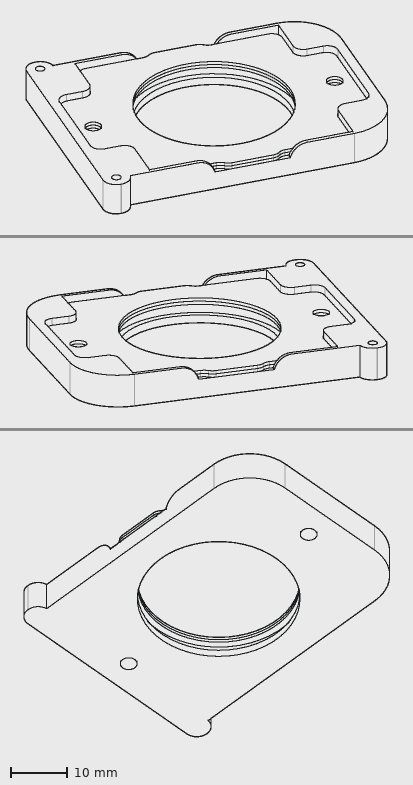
import cadquery as cq
import math

LENGTH = 56.45
OVERALL_WIDTH = 44.6
FRAME_WIDTH = 40.25
FRAME_HEIGHT = 6.1
OVERALL_HEIGHT = 6.45
CORNER_RADIUS = 9.0
EAR_RADIUS = 2.5
EAR_TIP_FLAT = 0.1
NUB_DIAMETER = 1.7

PLATE_THICKNESS = 0.6
POCKET_FLOOR = 3.55
POCKET_WIDTH = 38.7
POCKET_LENGTH = 38.5
POCKET_TAB_WIDTH = 19.8
POCKET_TAB_LENGTH = 52.6
TAB_RADIUS = 2.0
NOTCH_TOP_LENGTH = 20.8
NOTCH_RADIUS = 3.4

SIDE_GAP = 0.2
CLOSE_GAP = 0.05
PLATE_COUNT = 2
PLATE_CORNER_RADIUS = 2.0
LUG_LENGTH = 7.8
LUG_BLEND_RADIUS = 2.0

BORE_DIAMETER = 28.9
COUNTERBORE_DIAMETER = 31.4
COUNTERBORE_FLOOR = 1.5
SCREW_HOLE_DIAMETER = 3.0
SCREW_HOLE_SPACING = 45.65

ear_x = OVERALL_WIDTH / 2 - EAR_RADIUS
ear_y = EAR_RADIUS + EAR_TIP_FLAT / 2 - LENGTH / 2
SIDES = (-1, 1)


def block(width, length, bottom, top):
    """Box centred on the Z axis, between two heights."""
    return cq.Workplane("XY", origin=(0, 0, bottom)).rect(width, length).extrude(top - bottom)


def cross_block(width, length, tab_width, tab_length, bottom, top):
    """Rectangle with a narrower tab at each end; tab corners rounded, rectangle corners sharp."""
    body = block(width, length, bottom, top).union(block(tab_width, tab_length, bottom, top))
    margin = 0.05
    tab_zone = cq.selectors.BoxSelector(
        (-tab_width / 2 - margin, -tab_length / 2 - margin, bottom - margin),
        (tab_width / 2 + margin, tab_length / 2 + margin, top + margin),
    )
    return body.edges("|Z").edges(tab_zone).fillet(TAB_RADIUS)


def cut_openings(body):
    """Cut the central bore and the two screw holes right through."""
    drills = (
        cq.Workplane("XY")
        .circle(BORE_DIAMETER / 2)
        .pushPoints([(0, side * SCREW_HOLE_SPACING / 2) for side in SIDES])
        .circle(SCREW_HOLE_DIAMETER / 2)
        .extrude(FRAME_HEIGHT)
    )
    return body.cut(drills)


def make_frame_slab():
    """Slab with two large rounded +Y corners and, at each -Y corner, a round ear with a narrow flat tip."""
    half_width = FRAME_WIDTH / 2
    half_length = LENGTH / 2
    ear_lower_y = ear_y - EAR_TIP_FLAT / 2
    ear_upper_y = ear_y + EAR_TIP_FLAT / 2
    ear_end_offset = half_width - ear_x
    ear_end_y = ear_upper_y + math.sqrt(EAR_RADIUS**2 - ear_end_offset**2)
    ear_tip_x = ear_x + EAR_RADIUS
    corner_y = half_length - CORNER_RADIUS
    corner_x = half_width - CORNER_RADIUS
    return (
        cq.Workplane("XY")
        .moveTo(0, -half_length)
        .lineTo(ear_x, -half_length)
        .radiusArc((ear_tip_x, ear_lower_y), -EAR_RADIUS)
        .lineTo(ear_tip_x, ear_upper_y)
        .radiusArc((half_width, ear_end_y), -EAR_RADIUS)
        .lineTo(half_width, corner_y)
        .radiusArc((corner_x, half_length), -CORNER_RADIUS)
        .lineTo(0, half_length)
        .mirrorY()
        .extrude(FRAME_HEIGHT)
    )


def make_notch():
    """Cutter across both side walls, with convex rounded shoulders running down to the pocket floor."""
    top_half = NOTCH_TOP_LENGTH / 2
    arc_center_z = FRAME_HEIGHT - NOTCH_RADIUS

    def shoulder_y(z):
        return top_half - math.sqrt(NOTCH_RADIUS**2 - (z - arc_center_z) ** 2)

    floor_half = shoulder_y(POCKET_FLOOR)
    middle_z = (POCKET_FLOOR + FRAME_HEIGHT) / 2
    middle_half = shoulder_y(middle_z)
    return (
        cq.Workplane("YZ")
        .moveTo(-top_half, FRAME_HEIGHT)
        .threePointArc((-middle_half, middle_z), (-floor_half, POCKET_FLOOR))
        .lineTo(floor_half, POCKET_FLOOR)
        .threePointArc((middle_half, middle_z), (top_half, FRAME_HEIGHT))
        .close()
        .extrude(FRAME_WIDTH, both=True)
    )


def make_nub(side):
    """Low spherical cap on top of one ear."""
    nub_height = OVERALL_HEIGHT - FRAME_HEIGHT
    nub_radius = NUB_DIAMETER / 2
    sphere_radius = (nub_radius**2 + nub_height**2) / (2 * nub_height)
    sphere = cq.Workplane("XY").sphere(sphere_radius)
    sphere = sphere.translate((side * ear_x, ear_y, OVERALL_HEIGHT - sphere_radius))
    return sphere.intersect(block(OVERALL_WIDTH, LENGTH, FRAME_HEIGHT, OVERALL_HEIGHT))


def make_frame():
    """Housing that holds the two plates."""
    pocket = cross_block(
        POCKET_WIDTH, POCKET_LENGTH, POCKET_TAB_WIDTH, POCKET_TAB_LENGTH, POCKET_FLOOR, FRAME_HEIGHT
    )
    frame = make_frame_slab().cut(pocket).cut(make_notch())
    frame = cut_openings(frame)
    counterbore = (
        cq.Workplane("XY", origin=(0, 0, COUNTERBORE_FLOOR))
        .circle(COUNTERBORE_DIAMETER / 2)
        .extrude(FRAME_HEIGHT - COUNTERBORE_FLOOR)
    )
    frame = frame.cut(counterbore)
    for side in SIDES:
        frame = frame.union(make_nub(side))
    return frame


def make_lug_bar(plate_width, bottom):
    """Bar across the plate whose ends reach the frame's outer sides, blended by S-shaped pairs of arcs."""
    root_x = plate_width / 2
    tip_x = FRAME_WIDTH / 2
    middle_x = (root_x + tip_x) / 2
    half_run = math.sqrt(LUG_BLEND_RADIUS**2 - (LUG_BLEND_RADIUS - (tip_x - middle_x)) ** 2)
    tip_y = LUG_LENGTH / 2
    middle_y = tip_y + half_run
    root_y = middle_y + half_run
    return (
        cq.Workplane("XY", origin=(0, 0, bottom))
        .moveTo(0, -root_y)
        .lineTo(root_x, -root_y)
        .radiusArc((middle_x, -middle_y), LUG_BLEND_RADIUS)
        .radiusArc((tip_x, -tip_y), -LUG_BLEND_RADIUS)
        .lineTo(tip_x, tip_y)
        .radiusArc((middle_x, middle_y), -LUG_BLEND_RADIUS)
        .radiusArc((root_x, root_y), LUG_BLEND_RADIUS)
        .lineTo(0, root_y)
        .mirrorY()
        .extrude(PLATE_THICKNESS)
    )


def make_plate(bottom):
    """Thin plate that follows the pocket outline, with a lug through each side notch."""
    width = POCKET_WIDTH - 2 * SIDE_GAP
    plate = cross_block(
        width,
        POCKET_LENGTH - 2 * CLOSE_GAP,
        POCKET_TAB_WIDTH - 2 * CLOSE_GAP,
        POCKET_TAB_LENGTH - 2 * SIDE_GAP,
        bottom,
        bottom + PLATE_THICKNESS,
    )
    plate = plate.edges("|Z and (<X or >X)").fillet(PLATE_CORNER_RADIUS)
    return cut_openings(plate.union(make_lug_bar(width, bottom)))


frame = make_frame()
plates = [make_plate(POCKET_FLOOR + level * PLATE_THICKNESS) for level in range(PLATE_COUNT)]

result = cq.Compound.makeCompound([frame.val(), *[plate.val() for plate in plates]])